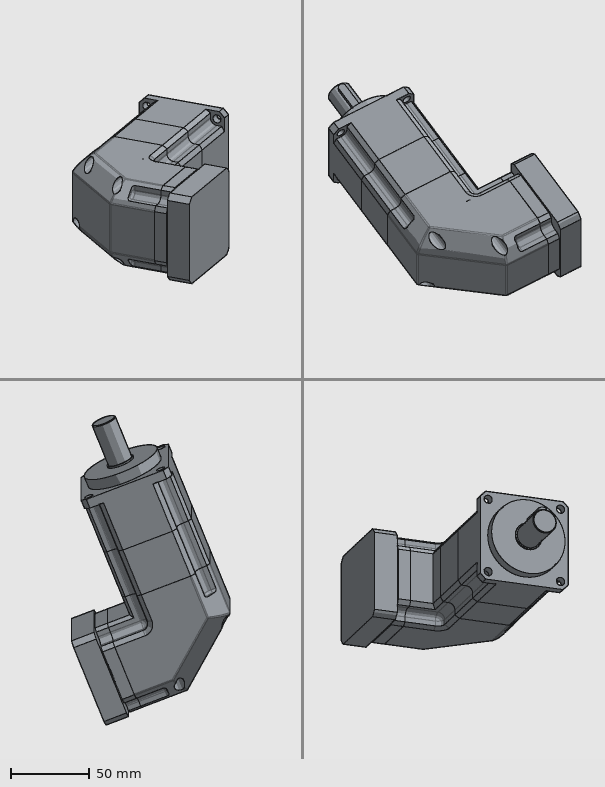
import cadquery as cq
import math


width = 60.0
half = width / 2
barrel_radius = 34.5
flange_radius = 40.0

total_length = 181.5
shaft_end = total_length - half
pilot_end = 121.8
flange_end = 114.7
flange_back = 108.5
ring_end = 75.0
elbow_end_y = 43.0

total_reach = 100.0
plate_end = total_reach - half
plate_start = 54.5
adapter_end = 53.7
elbow_end_x = 45.4

pilot_radius = 25.0
collar_radius = 8.9
collar_length = 1.0
shaft_radius = 8.0
shaft_chamfer = 0.5
key_width = 5.0
key_length = 25.0
key_top = 10.2
key_setback = 2.0

bolt_offset = 24.7
bolt_hole_radius = 2.7
flute_radius = 4.5
flute_wall = bolt_offset - flute_radius
flute_end = 25.5
flute_end_fillet = 1.8

bevel_start_y = 7.3
bevel_end_x = 14.2
elbow_fillet = 2.0
screw_circle_radius = 30.0
screw_angles = (60.0, 124.0, 213.5, 304.0)
screw_hole_radius = 2.5
counterbore_radius = 3.6
counterbore_floor_y = 18.2

spigot_radius = 25.5

margin = 3.6
outside = half + margin
flat_half = math.sqrt(barrel_radius**2 - half**2)
arc_45 = barrel_radius / math.sqrt(2)
flute_45 = bolt_offset - flute_radius / math.sqrt(2)


def output_plane(y):
    """Cross-section plane of the output leg, facing +Y."""
    return cq.Plane(origin=(0, y, 0), xDir=(1, 0, 0), normal=(0, 1, 0))


def input_plane(x):
    """Cross-section plane of the input leg, facing +X."""
    return cq.Plane(origin=(x, 0, 0), xDir=(0, 1, 0), normal=(1, 0, 0))


def rounded_block(plane, length, radius):
    """Square bar whose four corners are rounded by a cylinder about its axis."""
    bar = cq.Workplane(plane).rect(width, width).extrude(length)
    return bar.intersect(cq.Workplane(plane).circle(radius).extrude(length))


def flute_outline(plane, u_sign, v_sign):
    """Flute section in one corner: two straight walls joined by a quarter round."""
    points = [
        (bolt_offset, flute_wall),
        (outside, flute_wall),
        (outside, outside),
        (flute_wall, outside),
        (flute_wall, bolt_offset),
        (flute_45, flute_45),
    ]
    first, *corners, middle = [(u_sign * u, v_sign * v) for u, v in points]
    return cq.Workplane(plane).polyline([first] + corners).threePointArc(middle, first).close()


def corner_outline(plane, v_sign):
    """Material outside the barrel radius in the corner at positive local x."""
    return (
        cq.Workplane(plane)
        .moveTo(flat_half, v_sign * half)
        .threePointArc((arc_45, v_sign * arc_45), (half, v_sign * flat_half))
        .lineTo(outside, v_sign * flat_half)
        .lineTo(outside, v_sign * outside)
        .lineTo(flat_half, v_sign * outside)
        .close()
    )


def fluted_barrel(plane, length):
    """Straight barrel with a flute along each corner."""
    barrel = rounded_block(plane, length, barrel_radius)
    for u_sign in (1, -1):
        for v_sign in (1, -1):
            barrel = barrel.cut(flute_outline(plane, u_sign, v_sign).extrude(length))
    return barrel


def make_key():
    """Round-ended key standing proud of the shaft."""
    key_end = shaft_end - key_setback
    return (
        cq.Workplane("XY")
        .center(0, key_end - key_length / 2)
        .slot2D(key_length, key_width, 90)
        .extrude(key_top)
    )


def make_output_housing():
    barrel = fluted_barrel(output_plane(ring_end), flange_back - ring_end)
    flange = rounded_block(output_plane(flange_back), flange_end - flange_back, flange_radius)
    bolt_holes = (
        cq.Workplane(output_plane(flange_back))
        .rect(2 * bolt_offset, 2 * bolt_offset, forConstruction=True)
        .vertices()
        .circle(bolt_hole_radius)
        .extrude(flange_end - flange_back)
    )
    pilot = cq.Workplane(output_plane(flange_end)).circle(pilot_radius).extrude(pilot_end - flange_end)
    collar = cq.Workplane(output_plane(pilot_end)).circle(collar_radius).extrude(collar_length)
    shaft = (
        cq.Workplane(output_plane(pilot_end))
        .circle(shaft_radius)
        .extrude(shaft_end - pilot_end)
        .faces(">Y")
        .chamfer(shaft_chamfer)
    )
    housing = barrel.union(flange.cut(bolt_holes)).union(pilot)
    return housing.union(collar).union(shaft).union(make_key())


def make_ring_section():
    return fluted_barrel(output_plane(elbow_end_y), ring_end - elbow_end_y)


def round_outer_corners(blank):
    """Carry the barrel's corner radius along the two outer sides and the bevel between them."""
    bevel_x = bevel_end_x + half
    bevel_y = -half - bevel_start_y
    bevel_length = math.hypot(bevel_x, bevel_y)
    bevel_run = (bevel_x / bevel_length, bevel_y / bevel_length, 0)
    bevel_out = (bevel_run[1], -bevel_run[0], 0)
    bevel_origin = (-half - half * bevel_out[0], bevel_start_y - half * bevel_out[1], 0)
    sides = (
        cq.Plane(origin=(0, 0, 0), xDir=(-1, 0, 0), normal=(0, 1, 0)),
        cq.Plane(origin=bevel_origin, xDir=bevel_out, normal=bevel_run),
        cq.Plane(origin=(0, 0, 0), xDir=(0, -1, 0), normal=(1, 0, 0)),
    )
    for side in sides:
        for v_sign in (1, -1):
            blank = blank.cut(corner_outline(side, v_sign).extrude(total_length, both=True))
    return blank


def elbow_blank():
    """Bevelled block with rounded, softened outer edges, notched to leave the two legs."""
    block = (
        cq.Workplane("XY")
        .polyline([
            (-half, elbow_end_y),
            (-half, bevel_start_y),
            (bevel_end_x, -half),
            (elbow_end_x, -half),
            (elbow_end_x, elbow_end_y),
        ])
        .close()
        .extrude(half, both=True)
    )
    block = round_outer_corners(block)
    short_of_joints = cq.selectors.BoxSelector(
        (-outside, -outside, -outside),
        (elbow_end_x - margin, elbow_end_y - margin, outside),
    )
    block = block.edges(short_of_joints).fillet(elbow_fillet)
    notch = (
        cq.Workplane("XY")
        .moveTo(half, half)
        .rect(elbow_end_x, elbow_end_y, centered=False)
        .extrude(outside, both=True)
    )
    return block.cut(notch)


def outer_flutes():
    """Blind flutes on the outer side of each leg, rounded where they stop."""
    legs = (
        (output_plane(flute_end), elbow_end_y - flute_end, "<Y"),
        (input_plane(flute_end), elbow_end_x - flute_end, "<X"),
    )
    cutters = []
    for plane, length, blind_face in legs:
        for v_sign in (1, -1):
            flute = flute_outline(plane, -1, v_sign).extrude(length)
            cutters.append(flute.faces(blind_face).edges().fillet(flute_end_fillet))
    return cutters


def inner_bend(v_sign):
    """Corner rounding and flute turned about the bolt line at the inside of the bend."""
    flute_lip = math.sqrt(barrel_radius**2 - flute_wall**2)
    lip_angle = (math.atan2(flute_lip, flute_wall) + math.atan2(half, flat_half)) / 2
    lip_middle_u = barrel_radius * math.cos(lip_angle)
    lip_middle_v = barrel_radius * math.sin(lip_angle)
    bend_plane = cq.Plane(origin=(bolt_offset, bolt_offset, 0), xDir=(-1, 0, 0), normal=(0, 1, 0))
    return (
        cq.Workplane(bend_plane)
        .moveTo(0, v_sign * flute_wall)
        .threePointArc((bolt_offset - flute_45, v_sign * flute_45), (flute_radius, v_sign * bolt_offset))
        .lineTo(flute_radius, v_sign * flute_lip)
        .threePointArc(
            (bolt_offset - lip_middle_u, v_sign * lip_middle_v),
            (bolt_offset - flat_half, v_sign * half),
        )
        .lineTo(bolt_offset - flat_half, v_sign * outside)
        .lineTo(0, v_sign * outside)
        .close()
        .revolve(360, (0, 0, 0), (0, 1, 0))
    )


def inner_cutters():
    """Corner rounding and flutes along the inside of both legs, mitred where they meet."""
    start = output_plane(bolt_offset)
    length = elbow_end_x - bolt_offset
    output_side = (
        cq.Workplane("XY")
        .polyline([
            (0, bolt_offset),
            (bolt_offset, bolt_offset),
            (elbow_end_x, elbow_end_x),
            (0, elbow_end_x),
        ])
        .close()
        .extrude(outside, both=True)
    )
    cutters = []
    for v_sign in (1, -1):
        for outline in (corner_outline(start, v_sign), flute_outline(start, 1, v_sign)):
            along_output = outline.extrude(length).intersect(output_side)
            cutters.append(along_output)
            cutters.append(along_output.rotate((0, 0, 0), (1, 1, 0), 180))
        cutters.append(inner_bend(v_sign))
    return cutters


def screw_bores():
    """Counterbored screw holes, sunk along Y from the outer side of the elbow."""
    centres = [
        (
            screw_circle_radius * math.cos(math.radians(angle)),
            -screw_circle_radius * math.sin(math.radians(angle)),
        )
        for angle in screw_angles
    ]
    holes = cq.Workplane(output_plane(0)).pushPoints(centres).circle(screw_hole_radius).extrude(elbow_end_y)
    counterbores = (
        cq.Workplane(output_plane(-outside))
        .pushPoints(centres)
        .circle(counterbore_radius)
        .extrude(counterbore_floor_y + outside)
    )
    return [holes, counterbores]


def make_elbow():
    elbow = elbow_blank()
    for cutter in outer_flutes() + inner_cutters() + screw_bores():
        elbow = elbow.cut(cutter)
    return elbow


def make_adapter():
    adapter = fluted_barrel(input_plane(elbow_end_x), adapter_end - elbow_end_x)
    spigot = cq.Workplane(input_plane(adapter_end)).circle(spigot_radius).extrude(plate_start - adapter_end)
    return adapter.union(spigot)


def make_motor_plate():
    return rounded_block(input_plane(plate_start), plate_end - plate_start, flange_radius)


output_housing = make_output_housing()
ring_section = make_ring_section()
elbow = make_elbow()
adapter = make_adapter()
motor_plate = make_motor_plate()

result = cq.Compound.makeCompound([
    output_housing.val(),
    ring_section.val(),
    elbow.val(),
    adapter.val(),
    motor_plate.val(),
])